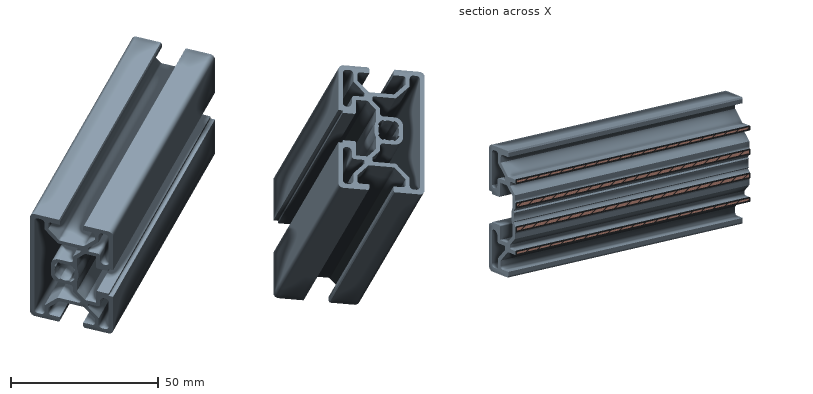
import cadquery as cq
import math


LENGTH = 100.0
WIDTH = 30.0
HEIGHT = 45.0
CORNER_RADIUS = 1.8
HALF_WIDTH = WIDTH / 2
HALF_HEIGHT = HEIGHT / 2

SKIN = 1.6
WEB = 1.4
WEB_MITRE = WEB * math.tan(math.radians(22.5))

LIP_THICKNESS = 2.1
SLOT_MOUTH_HALF = 4.2
MOUTH_BREAK = 0.3
SLOT_HALF = 8.4
SLOT_FLOOR_HALF = 4.4
SLOT_DEPTH = 9.1
SLOT_CORNER_RADIUS = 1.0
BEND_RADIUS = 0.8
SLOT_ROOF_Z = HALF_HEIGHT - LIP_THICKNESS
SLOT_FLOOR_Z = HALF_HEIGHT - SLOT_DEPTH
SLOT_KNEE_Z = SLOT_FLOOR_Z + SLOT_HALF - SLOT_FLOOR_HALF

WEB_BACK_X = SLOT_HALF + WEB
WEB_BACK_FLOOR_Z = SLOT_FLOOR_Z - WEB
WEB_BACK_KNEE_Z = SLOT_KNEE_Z - WEB_MITRE
WEB_BACK_FLOOR_X = WEB_BACK_X - (WEB_BACK_KNEE_Z - WEB_BACK_FLOOR_Z)

SIDE_MOUTH_HALF = 5.0
SIDE_REBATE = 0.9
SIDE_SLOT_HALF = 10.2
SIDE_LIP_X = 8.9
SIDE_FLOOR_X = 1.9
SIDE_BEVEL = 3.0
SIDE_LIP_BREAK = 0.5

CHANNEL_X = -2.5
CHANNEL_HALF = 5.0
CHANNEL_CORNER_RADIUS = 3.0
BORE_RADIUS = 3.6
GROOVE_RADIUS = 4.2
GROOVE_WIDTH = 2.4

BULGE_HALF = 3.0
BULGE_RISE = CHANNEL_X + CHANNEL_HALF - SIDE_FLOOR_X
BULGE_RADIUS = (BULGE_HALF**2 + BULGE_RISE**2) / (2 * BULGE_RISE)
BULGE_X = SIDE_FLOOR_X + BULGE_RISE - BULGE_RADIUS

CHAMBER_ROUND = 1.3
CHAMBER_INNER_ROUND = 1.0
NODE_ROUND = 0.6
CHAMBER_TOP_Z = HALF_HEIGHT - SKIN
CHAMBER_OUTER_X = HALF_WIDTH - SKIN
NODE_LEFT_X = 3.2
NODE_RIGHT_X = 5.9
NODE_RIGHT_Z = WEB_BACK_KNEE_Z - (WEB_BACK_X - NODE_RIGHT_X)
SIDE_WEB_X = SIDE_FLOOR_X - WEB
SIDE_WEB_KNEE_Z = SIDE_SLOT_HALF - SIDE_BEVEL + WEB_MITRE
NODE_LEFT_Z = SIDE_WEB_KNEE_Z + NODE_LEFT_X - SIDE_WEB_X
SIDE_LIP_BACK_X = SIDE_LIP_X + WEB
SIDE_LIP_BACK_Z = SIDE_SLOT_HALF + WEB
POCKET_RADIUS = 1.7
POCKET_BOTTOM_Z = 7.4
POCKET_CENTER_X = SIDE_LIP_BACK_X + POCKET_RADIUS
POCKET_CENTER_Z = POCKET_BOTTOM_Z + POCKET_RADIUS
POCKET_SKIN_Z = POCKET_CENTER_Z - math.sqrt(POCKET_RADIUS**2 - (CHAMBER_OUTER_X - POCKET_CENTER_X) ** 2)


def section():
    return cq.Workplane("XZ")


def along_length(sketch):
    """Extrude a section outline over the full length, centred on Y = 0."""
    return sketch.extrude(LENGTH / 2, both=True)


def prism(points):
    return along_length(section().polyline(points).close())


def block(half_x, half_z, center_x=0):
    return along_length(section().center(center_x, 0).rect(2 * half_x, 2 * half_z))


def rod(radius, center_x=CHANNEL_X):
    return along_length(section().center(center_x, 0).circle(radius))


def round_corners(solid, corners, radius):
    """Fillet the lengthwise edges that pass through the given (x, z) corners."""
    for x, z in corners:
        edge = solid.edges("|Y").edges(cq.NearestToPointSelector((x, 0, z)))
        solid = edge.fillet(radius)
    return solid


def with_mirror(solid):
    """Join a tool in the upper half with its reflection in the lower half."""
    return solid.union(solid.mirror("XY"))


def top_slot():
    right_side = [
        (SLOT_MOUTH_HALF + MOUTH_BREAK, HALF_HEIGHT),
        (SLOT_MOUTH_HALF, HALF_HEIGHT - 2 * MOUTH_BREAK),
        (SLOT_MOUTH_HALF, SLOT_ROOF_Z),
        (SLOT_HALF, SLOT_ROOF_Z),
        (SLOT_HALF, SLOT_KNEE_Z),
        (SLOT_FLOOR_HALF, SLOT_FLOOR_Z),
    ]
    left_side = [(-x, z) for x, z in reversed(right_side)]
    roof_corners = [(-SLOT_HALF, SLOT_ROOF_Z), (SLOT_HALF, SLOT_ROOF_Z)]
    floor_corners = [(-SLOT_FLOOR_HALF, SLOT_FLOOR_Z), (SLOT_FLOOR_HALF, SLOT_FLOOR_Z)]
    slot = round_corners(prism(right_side + left_side), roof_corners, SLOT_CORNER_RADIUS)
    return round_corners(slot, floor_corners, BEND_RADIUS)


def side_slot():
    upper_half = [
        (HALF_WIDTH, 0),
        (HALF_WIDTH, SIDE_MOUTH_HALF + SIDE_REBATE),
        (CHAMBER_OUTER_X, SIDE_MOUTH_HALF + SIDE_REBATE),
        (CHAMBER_OUTER_X, SIDE_MOUTH_HALF),
        (SIDE_LIP_X, SIDE_MOUTH_HALF),
        (SIDE_LIP_X, SIDE_SLOT_HALF),
        (SIDE_FLOOR_X + SIDE_BEVEL, SIDE_SLOT_HALF),
        (SIDE_FLOOR_X, SIDE_SLOT_HALF - SIDE_BEVEL),
        (SIDE_FLOOR_X, 0),
    ]
    half_slot = round_corners(prism(upper_half), [(SIDE_LIP_X, SIDE_MOUTH_HALF)], SIDE_LIP_BREAK)
    return with_mirror(half_slot).cut(rod(BULGE_RADIUS, BULGE_X))


def main_chamber():
    """Hollow behind the plain -X skin, wrapping around the screw channel."""
    channel_left = CHANNEL_X - CHANNEL_HALF
    upper_half = [
        (-CHAMBER_OUTER_X, 0),
        (-CHAMBER_OUTER_X, CHAMBER_TOP_Z),
        (-WEB_BACK_X, CHAMBER_TOP_Z),
        (-WEB_BACK_X, WEB_BACK_KNEE_Z),
        (-WEB_BACK_FLOOR_X, WEB_BACK_FLOOR_Z),
        (NODE_LEFT_X, WEB_BACK_FLOOR_Z),
        (NODE_LEFT_X, NODE_LEFT_Z),
        (SIDE_WEB_X, SIDE_WEB_KNEE_Z),
        (SIDE_WEB_X, CHANNEL_HALF),
        (channel_left, CHANNEL_HALF),
        (channel_left, 0),
    ]
    top_corners = [(-CHAMBER_OUTER_X, CHAMBER_TOP_Z), (-WEB_BACK_X, CHAMBER_TOP_Z)]
    half_chamber = round_corners(prism(upper_half), top_corners, CHAMBER_ROUND)
    half_chamber = round_corners(half_chamber, [(-WEB_BACK_FLOOR_X, WEB_BACK_FLOOR_Z)], BEND_RADIUS)
    half_chamber = round_corners(half_chamber, [(NODE_LEFT_X, WEB_BACK_FLOOR_Z)], NODE_ROUND)
    half_chamber = round_corners(half_chamber, [(SIDE_WEB_X, CHANNEL_HALF)], CHAMBER_INNER_ROUND)
    half_chamber = round_corners(half_chamber, [(channel_left, CHANNEL_HALF)], CHANNEL_CORNER_RADIUS)
    return with_mirror(half_chamber)


def corner_chamber():
    """Hollow in the upper +X corner, ending in a rounded pocket behind the side lip."""
    outline = (
        section()
        .moveTo(CHAMBER_OUTER_X, POCKET_SKIN_Z)
        .lineTo(CHAMBER_OUTER_X, CHAMBER_TOP_Z)
        .lineTo(WEB_BACK_X, CHAMBER_TOP_Z)
        .lineTo(WEB_BACK_X, WEB_BACK_KNEE_Z)
        .lineTo(NODE_RIGHT_X, NODE_RIGHT_Z)
        .lineTo(NODE_RIGHT_X, SIDE_LIP_BACK_Z)
        .lineTo(SIDE_LIP_BACK_X, SIDE_LIP_BACK_Z)
        .lineTo(SIDE_LIP_BACK_X, POCKET_CENTER_Z)
        .threePointArc((POCKET_CENTER_X, POCKET_BOTTOM_Z), (CHAMBER_OUTER_X, POCKET_SKIN_Z))
        .close()
    )
    top_corners = [(CHAMBER_OUTER_X, CHAMBER_TOP_Z), (WEB_BACK_X, CHAMBER_TOP_Z)]
    chamber = round_corners(along_length(outline), top_corners, CHAMBER_ROUND)
    chamber = round_corners(chamber, [(NODE_RIGHT_X, SIDE_LIP_BACK_Z)], NODE_ROUND)
    return round_corners(chamber, [(SIDE_LIP_BACK_X, SIDE_LIP_BACK_Z)], CHAMBER_INNER_ROUND)


def screw_bore():
    """Round bore with four diagonal relief grooves."""
    bore = rod(BORE_RADIUS)
    for angle in (45, -45):
        groove_pair = block(CHANNEL_HALF, GROOVE_WIDTH / 2, CHANNEL_X)
        groove_pair = groove_pair.rotate((CHANNEL_X, 0, 0), (CHANNEL_X, 1, 0), angle)
        bore = bore.union(groove_pair.intersect(rod(GROOVE_RADIUS)))
    return bore


result = (
    block(HALF_WIDTH, HALF_HEIGHT)
    .edges("|Y")
    .fillet(CORNER_RADIUS)
    .cut(with_mirror(top_slot()))
    .cut(side_slot())
    .cut(main_chamber())
    .cut(with_mirror(corner_chamber()))
    .cut(screw_bore())
)